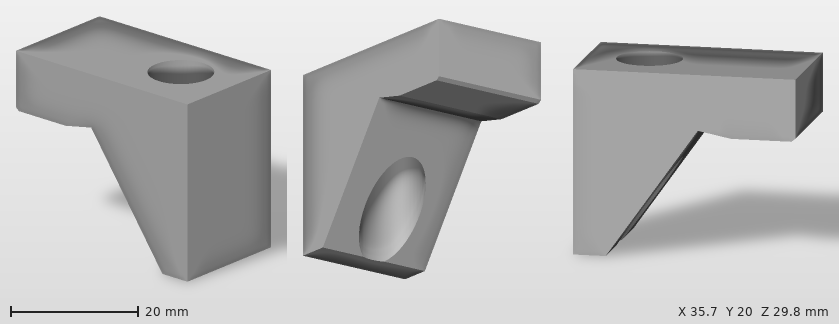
import cadquery as cq

length = 35.7
width = 20.0
height = 29.8

arm_thickness = 10.0
arm_flat_length = 10.35
notch_x = 15.67
notch_depth = 8.95
foot_length = 5.2
nose_chamfer_length = 0.65
nose_chamfer_height = 0.5

hole_diameter = 10.5
hole_x = 25.65

body = (
    cq.Workplane("XZ")
    .moveTo(0, 0)
    .lineTo(length, 0)
    .lineTo(length, -height)
    .lineTo(length - foot_length, -height)
    .lineTo(notch_x, -notch_depth)
    .lineTo(arm_flat_length, -arm_thickness)
    .lineTo(nose_chamfer_length, -arm_thickness)
    .lineTo(0, nose_chamfer_height - arm_thickness)
    .close()
    .extrude(width / 2, both=True)
)

hole = cq.Workplane("XY").center(hole_x, 0).circle(hole_diameter / 2).extrude(-height)

result = body.cut(hole)